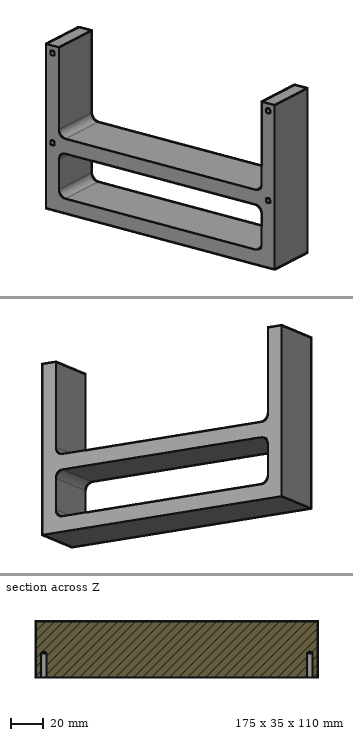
import math

import cadquery as cq

WIDTH = 175.0
DEPTH = 35.0
HEIGHT = 110.0
WALL = 10.0

WINDOW_HEIGHT = 30.0
CORNER_RADIUS = 5.0

HOLE_DIAMETER = 3.3
HOLE_DEPTH = 15.0
DRILL_POINT_ANGLE = 118.0

inner_width = WIDTH - 2 * WALL
window_bottom = WALL
shelf_bottom = window_bottom + WINDOW_HEIGHT
shelf_top = shelf_bottom + WALL
front_y = -DEPTH / 2


def cut_block(bottom, height):
    """Block spanning the inner width and the full depth, resting at the given Z."""
    return (
        cq.Workplane("XY")
        .box(inner_width, DEPTH, height, centered=(True, True, False))
        .translate((0, 0, bottom))
    )


def make_window():
    """Closed lower opening, rounded at all four corners."""
    return cut_block(window_bottom, WINDOW_HEIGHT).edges("|Y").fillet(CORNER_RADIUS)


def make_upper_bay():
    """Bay open at the top, rounded where the posts meet the shelf."""
    bay = cut_block(shelf_top, HEIGHT - shelf_top)
    return bay.faces("<Z").edges("|Y").fillet(CORNER_RADIUS)


def make_drill():
    """Drill shape entering at the origin towards +Y, ending in a conical point."""
    radius = HOLE_DIAMETER / 2
    point_length = radius / math.tan(math.radians(DRILL_POINT_ANGLE / 2))
    half_profile = (
        cq.Workplane("XY")
        .lineTo(radius, 0)
        .lineTo(radius, HOLE_DEPTH)
        .lineTo(0, HOLE_DEPTH + point_length)
        .close()
    )
    return half_profile.revolve(360, (0, 0), (0, 1))


def make_screw_holes():
    """Holes centred on the posts, near the post tops and level with the shelf."""
    post_x = (WIDTH - WALL) / 2
    shelf_z = shelf_bottom + WALL / 2
    top_z = HEIGHT - WALL / 2
    centers = [(x, z) for x in (-post_x, post_x) for z in (shelf_z, top_z)]
    drill = make_drill()
    holes = cq.Workplane("XY")
    for x, z in centers:
        holes = holes.union(drill.translate((x, front_y, z)))
    return holes


body = cq.Workplane("XY").box(WIDTH, DEPTH, HEIGHT, centered=(True, True, False))
result = body.cut(make_window()).cut(make_upper_bay()).cut(make_screw_holes())